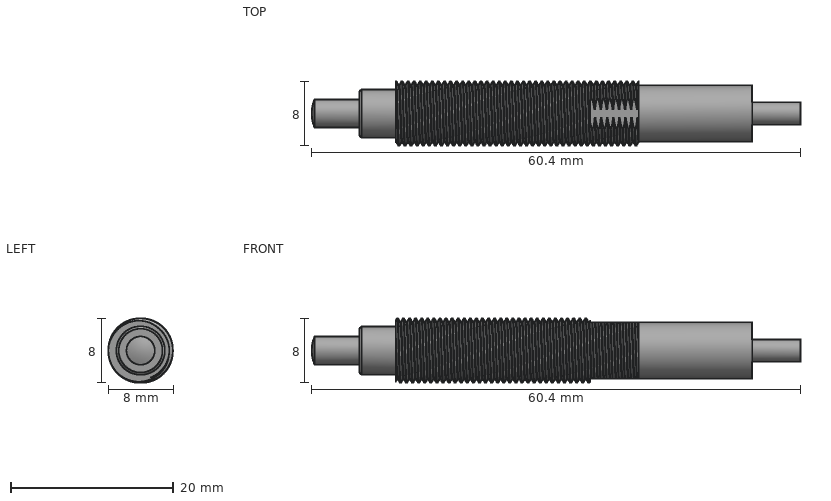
import cadquery as cq
import math

dome_height = 0.37
tip_diameter = 3.5
tip_length = 5.5
collar_diameter = 6.0
collar_length = 4.5
collar_chamfer = 0.3
thread_diameter = 8.0
thread_pitch = 0.75
thread_length = 30.0
thread_half_angle = math.radians(30)
flat_length = 6.0
across_flats = 7.0
body_diameter = 7.0
body_length = 14.0
tail_diameter = 2.8
tail_length = 6.0

thread_start_angle = 110.0
thread_depth = 0.46
crest_width = thread_pitch / 8
ridge_overlap = 0.05

crest_radius = thread_diameter / 2
root_radius = crest_radius - thread_depth

collar_start = -collar_length
tip_rim = collar_start - tip_length
body_end = thread_length + body_length


def rod(diameter, start, length):
    """Cylinder on the X axis, running from start towards +X."""
    return cq.Workplane("YZ", origin=(start, 0, 0)).circle(diameter / 2).extrude(length)


def plunger_tip():
    """Slim front pin, closed by a shallow spherical dome."""
    radius = tip_diameter / 2
    dome_radius = (radius**2 + dome_height**2) / (2 * dome_height)
    apex = tip_rim - dome_height
    mid_radius = radius / 2
    mid_x = apex + dome_radius - math.sqrt(dome_radius**2 - mid_radius**2)
    half_profile = (
        cq.Workplane("XY")
        .moveTo(apex, 0)
        .threePointArc((mid_x, mid_radius), (tip_rim, radius))
        .lineTo(collar_start, radius)
        .lineTo(collar_start, 0)
        .close()
    )
    return half_profile.revolve(360, (0, 0, 0), (1, 0, 0))


def collar():
    """Plain collar with its front edge chamfered."""
    return rod(collar_diameter, collar_start, collar_length).faces("<X").edges().chamfer(collar_chamfer)


def thread_ridge():
    """Right-handed helical ridge on the X axis, overrunning both ends of the thread."""
    overrun = 2 * thread_pitch
    base_radius = root_radius - ridge_overlap
    base_half = crest_width / 2 + (crest_radius - base_radius) * math.tan(thread_half_angle)
    helix = cq.Wire.makeHelix(thread_pitch, thread_length + 2 * overrun, root_radius)
    ridge = (
        cq.Workplane("XZ")
        .polyline([
            (base_radius, -base_half),
            (crest_radius, -crest_width / 2),
            (crest_radius, crest_width / 2),
            (base_radius, base_half),
        ])
        .close()
        .sweep(cq.Workplane(helix), isFrenet=True)
    )
    ridge = ridge.rotate((0, 0, 0), (0, 1, 0), 90)
    ridge = ridge.rotate((0, 0, 0), (1, 0, 0), 180 - thread_start_angle)
    return ridge.translate((-overrun, 0, 0))


def cut_flats(section):
    """Cut the two flats (+Z and -Z) at the rear end of the threaded section."""
    flat_centre = thread_length - flat_length / 2
    for side in (1, -1):
        cutter = cq.Workplane("XY").box(flat_length, 2 * thread_diameter, thread_diameter)
        lift = side * (across_flats + thread_diameter) / 2
        section = section.cut(cutter.translate((flat_centre, 0, lift)))
    return section


def threaded_section():
    """Threaded rod trimmed square at both ends, with flats at its rear end."""
    envelope = cut_flats(rod(2 * thread_diameter, 0, thread_length))
    core = cut_flats(rod(2 * root_radius, 0, thread_length))
    return core.union(thread_ridge().intersect(envelope))


body = rod(body_diameter, thread_length, body_length)
tail = rod(tail_diameter, body_end, tail_length)

result = plunger_tip().union(collar()).union(threaded_section()).union(body).union(tail)